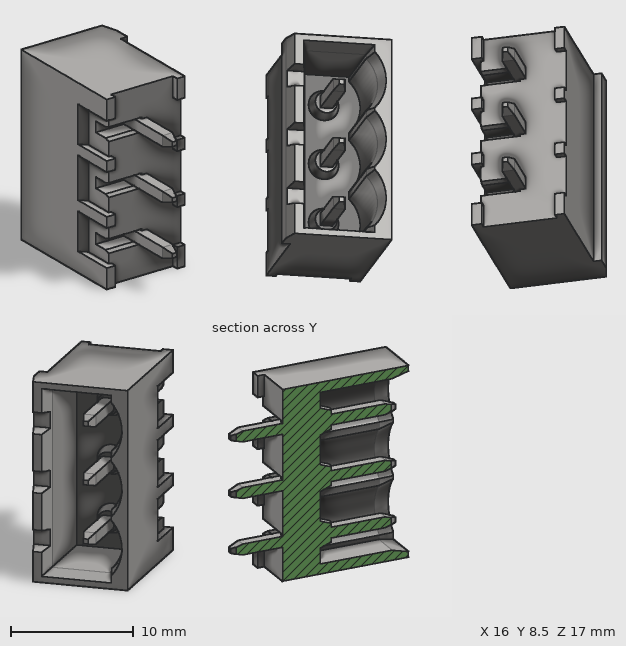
import cadquery as cq
import math

HEIGHT = 17.0
BODY_LENGTH = 12.0
BODY_DEPTH = 7.82

RIDGE_DEPTH = 8.5
RIDGE_FRONT_DEPTH = 8.1
RIDGE_LENGTH = 3.0

PIN_COUNT = 3
PITCH = 5.0
PIN_Y = 3.93
PIN_WIDTH = 1.0
PIN_TIP_WIDTH = 0.4
PIN_TIP_LENGTH = 1.0
PIN_START = 1.12
PIN_END = 16.0
pin_heights = [HEIGHT / 2 + (i - (PIN_COUNT - 1) / 2) * PITCH for i in range(PIN_COUNT)]

CAVITY_END_WALL = 0.94
CAVITY_Y_MIN = 1.82
CAVITY_Y_MAX = 6.94
CAVITY_DEPTH = 7.97
SCALLOP_RADIUS = 3.05
FLARE_LENGTH = RIDGE_LENGTH / 2
FLARE_WIDTH = 0.4

COLLAR_BASE_RADIUS = 1.25
COLLAR_TOP_RADIUS = 0.9
COLLAR_HEIGHT = 1.0

NOTCH_DEPTH = 1.25
NOTCH_MOUTH_WIDTH = 1.85
NOTCH_FLOOR_WIDTH = 1.38

REAR_FLOOR = 11.4
REAR_Y_MIN = 0.87
REAR_Y_MAX = 7.04

POCKET_START = CAVITY_DEPTH
POCKET_DEPTH = 0.63
POCKET_END_WALL = 1.92
RIB_WIDTH = 1.0

SLOT_START = 9.6
SLOT_FLARE_LENGTH = 0.45
SLOT_FLARE_WIDTH = 0.15


def make_block():
    outline = [
        (0, 0),
        (BODY_LENGTH, 0),
        (BODY_LENGTH, BODY_DEPTH),
        (RIDGE_LENGTH, BODY_DEPTH),
        (RIDGE_LENGTH, RIDGE_DEPTH),
        (FLARE_LENGTH, RIDGE_DEPTH),
        (0, RIDGE_FRONT_DEPTH),
    ]
    return cq.Workplane("XY").polyline(outline).close().extrude(HEIGHT)


def cavity_outline(x, growth):
    """Closed cavity outline at x, with every wall moved outward by growth."""
    z_low = CAVITY_END_WALL - growth
    z_high = HEIGHT - z_low
    y_low = CAVITY_Y_MIN - growth
    y_high = CAVITY_Y_MAX + growth
    radius = SCALLOP_RADIUS + growth
    half_chord = math.sqrt(radius**2 - (PIN_Y - y_low) ** 2)

    outline = cq.Workplane("YZ", origin=(x, 0, 0)).moveTo(y_high, z_low).lineTo(y_low, z_low)
    for z in pin_heights:
        outline = outline.lineTo(y_low, z - half_chord)
        outline = outline.threePointArc((PIN_Y - radius, z), (y_low, z + half_chord))
    return outline.lineTo(y_low, z_high).lineTo(y_high, z_high).close()


def make_cavity():
    straight = cavity_outline(0, 0).extrude(CAVITY_DEPTH)
    mouth = cavity_outline(0, FLARE_WIDTH).wires().val()
    throat = cavity_outline(FLARE_LENGTH, 0).wires().val()
    flare = cq.Solid.makeLoft([mouth, throat], True)
    return straight.union(cq.Workplane(flare))


def make_notch(z):
    mouth = NOTCH_MOUTH_WIDTH / 2
    floor = NOTCH_FLOOR_WIDTH / 2
    outline = [(0, z - mouth), (NOTCH_DEPTH, z - floor), (NOTCH_DEPTH, z + floor), (0, z + mouth)]
    notch = cq.Workplane("XZ", origin=(0, RIDGE_DEPTH, 0)).polyline(outline).close()
    return notch.extrude(RIDGE_DEPTH - PIN_Y)


def make_collar(z):
    cone = cq.Solid.makeCone(
        COLLAR_BASE_RADIUS,
        COLLAR_TOP_RADIUS,
        COLLAR_HEIGHT,
        pnt=cq.Vector(CAVITY_DEPTH, PIN_Y, z),
        dir=cq.Vector(-1, 0, 0),
    )
    return cq.Workplane(cone)


def make_rear_recess():
    size = (BODY_LENGTH - REAR_FLOOR, REAR_Y_MAX - REAR_Y_MIN, HEIGHT)
    return cq.Workplane("XY").box(*size, centered=False).translate((REAR_FLOOR, REAR_Y_MIN, 0))


def make_pocket(z_low, z_high):
    """Pocket in the -Y face, with a 45 degree front wall, that also opens the whole rear edge."""
    outline = [
        (POCKET_START, 0),
        (POCKET_START + POCKET_DEPTH, POCKET_DEPTH),
        (REAR_FLOOR, POCKET_DEPTH),
        (REAR_FLOOR, BODY_DEPTH),
        (BODY_LENGTH, BODY_DEPTH),
        (BODY_LENGTH, 0),
    ]
    pocket = cq.Workplane("XY", origin=(0, 0, z_low)).polyline(outline).close()
    return pocket.extrude(z_high - z_low)


def make_pockets():
    pockets = cq.Workplane("XY")
    for z in pin_heights:
        z_low = max(z - PITCH / 2 + RIB_WIDTH / 2, POCKET_END_WALL)
        z_high = min(z + PITCH / 2 - RIB_WIDTH / 2, HEIGHT - POCKET_END_WALL)
        pockets = pockets.add(make_pocket(z_low, z_high))
    return pockets.combine()


def make_slot(z):
    half = PIN_WIDTH / 2
    flared = half + SLOT_FLARE_WIDTH
    flare_start = REAR_FLOOR - SLOT_FLARE_LENGTH
    outline = [
        (SLOT_START, z - half),
        (flare_start, z - half),
        (REAR_FLOOR, z - flared),
        (REAR_FLOOR, z + flared),
        (flare_start, z + half),
        (SLOT_START, z + half),
    ]
    return cq.Workplane("XZ").polyline(outline).close().extrude(-PIN_Y)


def make_pin(z):
    """Square pin along X with a pyramidal tip at each end."""
    front_shoulder = PIN_START + PIN_TIP_LENGTH
    rear_shoulder = PIN_END - PIN_TIP_LENGTH
    taper = math.degrees(math.atan((PIN_WIDTH - PIN_TIP_WIDTH) / 2 / PIN_TIP_LENGTH))

    def square_at(x):
        return cq.Workplane("YZ", origin=(x, PIN_Y, z)).rect(PIN_WIDTH, PIN_WIDTH)

    shank = square_at(front_shoulder).extrude(rear_shoulder - front_shoulder)
    front_tip = square_at(front_shoulder).extrude(-PIN_TIP_LENGTH, taper=taper)
    rear_tip = square_at(rear_shoulder).extrude(PIN_TIP_LENGTH, taper=taper)
    return shank.union(front_tip).union(rear_tip)


result = make_block().cut(make_cavity()).cut(make_rear_recess()).cut(make_pockets())
for pin_z in pin_heights:
    result = result.cut(make_notch(pin_z)).cut(make_slot(pin_z))
    result = result.union(make_collar(pin_z)).union(make_pin(pin_z))